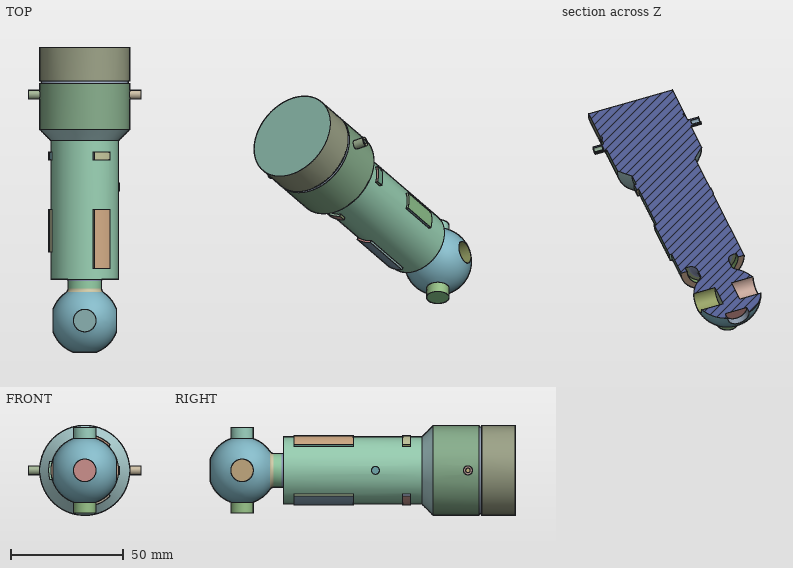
import cadquery as cq
import math


ball_radius = 15.0
socket_radius = 5.0
side_socket_floor = 4.0
front_socket_floor = 11.0
ball_pin_radius = 5.0
ball_pin_reach = 19.0
flat_distance = math.sqrt(ball_radius**2 - socket_radius**2)

overall_length = 135.24
head_end = overall_length - flat_distance
groove_start = 14.9
groove_end = 16.0
groove_depth = 0.75
cone_start = 36.4
tube_start = 41.4

head_radius = 20.0
tube_radius = 15.0
tube_end_y = 18.25
neck_radius = 7.5
neck_ball_fillet = 2.0
neck_floor_fillet = 3.0
recess_radius = 12.0
recess_depth = 2.25

pin_station = 21.0
pin_radius = 2.0
pin_reach = 25.0
pin_hole_radius = 1.0
pin_hole_depth = 4.0

pad_radius = 16.0
pad_width = 8.0
pad_root_radius = 13.0
marker_length = 3.5
marker_station = 46.45
grip_station = 71.8
side_grip_length = 19.0
slanted_grip_length = 26.3
pad_layout = [
    (60, slanted_grip_length),
    (180, side_grip_length),
    (300, slanted_grip_length),
]

button_station = 62.0
button_radius = 1.75
button_reach = 15.3


def along(station):
    """Y position of a station counted from the head end."""
    return head_end - station


def make_body():
    """Head, cone, recessed tube and neck, revolved about the Y axis."""
    floor_y = tube_end_y + recess_depth
    floor_fillet_y = floor_y - neck_floor_fillet
    fillet_centre_radius = neck_radius + neck_ball_fillet
    fillet_centre_distance = ball_radius + neck_ball_fillet
    fillet_centre_y = math.sqrt(fillet_centre_distance**2 - fillet_centre_radius**2)
    ball_share = ball_radius / fillet_centre_distance
    ball_tangent = (fillet_centre_radius * ball_share, fillet_centre_y * ball_share)
    bisector = (
        -fillet_centre_radius / fillet_centre_distance - 1,
        -fillet_centre_y / fillet_centre_distance,
    )
    bisector_length = math.hypot(*bisector)
    ball_fillet_middle = (
        fillet_centre_radius + neck_ball_fillet * bisector[0] / bisector_length,
        fillet_centre_y + neck_ball_fillet * bisector[1] / bisector_length,
    )
    floor_fillet_offset = neck_floor_fillet * math.sqrt(0.5)
    floor_fillet_middle = (
        neck_radius + neck_floor_fillet - floor_fillet_offset,
        floor_fillet_y + floor_fillet_offset,
    )
    groove_bottom = (head_radius - groove_depth, along((groove_start + groove_end) / 2))
    profile = (
        cq.Workplane("XY")
        .moveTo(0, head_end)
        .lineTo(head_radius, head_end)
        .lineTo(head_radius, along(groove_start))
        .threePointArc(groove_bottom, (head_radius, along(groove_end)))
        .lineTo(head_radius, along(cone_start))
        .lineTo(tube_radius, along(tube_start))
        .lineTo(tube_radius, tube_end_y)
        .lineTo(recess_radius, tube_end_y)
        .lineTo(recess_radius, floor_y)
        .lineTo(neck_radius + neck_floor_fillet, floor_y)
        .threePointArc(floor_fillet_middle, (neck_radius, floor_fillet_y))
        .lineTo(neck_radius, fillet_centre_y)
        .threePointArc(ball_fillet_middle, ball_tangent)
        .lineTo(0, ball_tangent[1])
        .close()
    )
    return profile.revolve(360, (0, 0, 0), (0, 1, 0))


def make_ball():
    """Ball with a vertical cross pin and blind sockets on the X axis and the -Y side."""
    ball = cq.Workplane("XY").sphere(ball_radius)
    cross_pin = (
        cq.Workplane("XY")
        .workplane(offset=-ball_pin_reach)
        .circle(ball_pin_radius)
        .extrude(2 * ball_pin_reach)
    )
    ball = ball.union(cross_pin)
    sockets = [
        ((1, 0, 0), side_socket_floor),
        ((-1, 0, 0), side_socket_floor),
        ((0, -1, 0), front_socket_floor),
    ]
    for direction, socket_floor in sockets:
        floor_centre = tuple(socket_floor * component for component in direction)
        floor_plane = cq.Plane(origin=floor_centre, xDir=(0, 0, 1), normal=direction)
        ball = ball.cut(cq.Workplane(floor_plane).circle(socket_radius).extrude(ball_radius))
    return ball


def make_bayonet_pins():
    """One cross pin through the head with a blind hole in each end."""
    plane = cq.Plane(origin=(0, along(pin_station), 0), xDir=(0, 1, 0), normal=(1, 0, 0))
    pins = cq.Workplane(plane).circle(pin_radius).extrude(pin_reach, both=True)
    for side in (-1, 1):
        hole = (
            cq.Workplane(plane)
            .workplane(offset=side * pin_reach)
            .circle(pin_hole_radius)
            .extrude(-side * pin_hole_depth)
        )
        pins = pins.cut(hole)
    return pins


def make_pad(angle, station, length):
    """Raised pad with a round top, at an angle about Y measured from +X toward +Z."""
    end_y = along(station)
    middle_y = end_y - length / 2
    bar = (
        cq.Workplane("XY")
        .box(pad_radius - pad_root_radius, length, pad_width, centered=(False, True, True))
        .translate((pad_root_radius, middle_y, 0))
    )
    crown = cq.Workplane("XZ", origin=(0, end_y, 0)).circle(pad_radius).extrude(length)
    return bar.intersect(crown).rotate((0, 0, 0), (0, 1, 0), -angle)


def make_button():
    """Low round button on the +X side of the tube."""
    plane = cq.Plane(origin=(0, along(button_station), 0), xDir=(0, 1, 0), normal=(1, 0, 0))
    return cq.Workplane(plane).circle(button_radius).extrude(button_reach)


result = make_body().union(make_ball()).union(make_bayonet_pins())
for pad_angle, grip_length in pad_layout:
    result = result.union(make_pad(pad_angle, marker_station, marker_length))
    result = result.union(make_pad(pad_angle, grip_station, grip_length))
result = result.union(make_button())